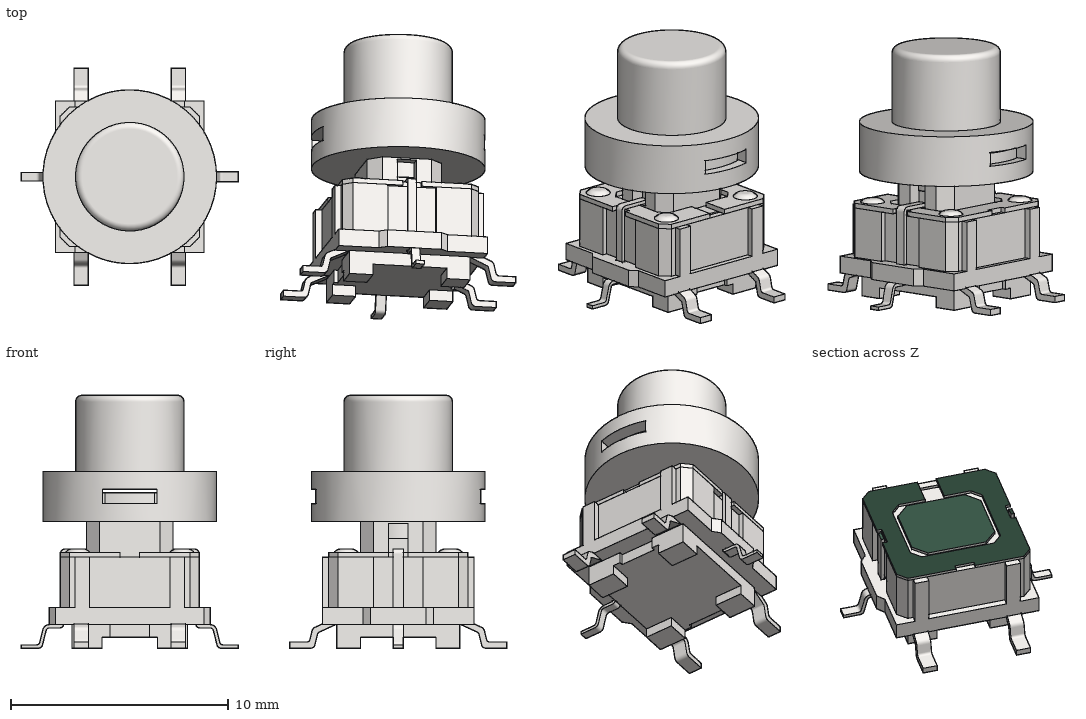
import cadquery as cq
import math

foot_gap_top = 0.5
base_bottom = 1.1
base_top = 1.89
housing_top = 4.19
plate_top = 4.42
flange_bottom = 5.82
flange_top = 8.14
cap_top = 11.65

button_diameter = 5.0
button_edge_radius = 0.3
flange_diameter = 8.0
slot_width = 2.49
slot_bottom = 6.66
slot_top = 7.32

stem_x = 4.0
stem_y = 3.5
stem_chamfer = 0.6
stem_top = 7.16
latch_width = 2.3
latch_radius = 3.5
core_diameter = 3.0
core_bottom = 5.06
window_width = 0.9
window_top = 5.75
window_floor = 1.4

cover_size = 6.41
cover_chamfer = 0.42
plate_hole_clearance = 0.15
plate_hole_chamfer = 0.42
rivet_pitch = 4.8
rivet_top_radius = 0.23
rivet_arc_radius = 0.8 / 2
rivet_height = 0.16
recess_width = 2.3
recess_depth = 0.23
slit_offset = 0.34
slit_width = 0.15
slit_depth = 0.3

base_x = 6.84
base_y = 6.99
bump_reach = 3.72
bump_half_tip = 1.27
bump_half_root = 1.62
upright_inner = 1.86
upright_outer = 2.53
block_x = 5.34
block_y = 5.66
foot_inner_x = 1.27
foot_inner_y = 1.74
niche_width = 1.8
niche_depth = 0.17

lead_reach = 5.0
contact_width = 0.68
contact_thickness = 0.29
contact_offset = 2.24
contact_end = block_y / 2
contact_slope = 0.46
contact_heel = (3.98, contact_thickness / 2)
contact_knee = (3.82, 0.82)
contact_radii = [(0.21, 0.14), (0.09, 0.27)]
lamp_thickness = 0.16
lamp_heel = (4.11, lamp_thickness / 2)
lamp_knee = (3.88, base_bottom - lamp_thickness / 2)
lamp_radii = [(0.21, 0.15), (0.14, 0.31), (0.17, 0.09), (0.07, 0.25)]
lamp_width_left = 0.4
lamp_width_right = 0.48
lamp_end = 1.63


def centred_box(size_x, size_y, bottom, top):
    """A box centred on the Z axis."""
    box = cq.Workplane("XY").workplane(offset=bottom).rect(size_x, size_y)
    return box.extrude(top - bottom)


def chamfered_block(size_x, size_y, chamfer, bottom, top):
    """A centred box with its four upright edges chamfered."""
    return centred_box(size_x, size_y, bottom, top).edges("|Z").chamfer(chamfer)


def disc(diameter, bottom, top):
    return cq.Workplane("XY").workplane(offset=bottom).circle(diameter / 2).extrude(top - bottom)


def strip_side(path, offset):
    """The path moved sideways by the offset (left is positive), with mitred corners."""
    headings = [math.atan2(b[1] - a[1], b[0] - a[0]) for a, b in zip(path, path[1:])]
    before = [headings[0]] + headings
    after = headings + [headings[-1]]
    side = []
    for (u, v), angle_in, angle_out in zip(path, before, after):
        middle = (angle_in + angle_out) / 2
        miter = offset / math.cos((angle_out - angle_in) / 2)
        side.append((u - miter * math.sin(middle), v + miter * math.cos(middle)))
    return side


def round_corner(previous, corner, following, radius):
    """Start, middle and end of the arc that rounds a corner."""
    length_in = math.dist(previous, corner)
    length_out = math.dist(following, corner)
    to_previous = [(p - c) / length_in for p, c in zip(previous, corner)]
    to_following = [(f - c) / length_out for f, c in zip(following, corner)]
    half_angle = math.acos(sum(p * f for p, f in zip(to_previous, to_following))) / 2
    tangent = radius / math.tan(half_angle)
    gap = radius / math.sin(half_angle) - radius
    start = tuple(c + tangent * p for c, p in zip(corner, to_previous))
    end = tuple(c + tangent * f for c, f in zip(corner, to_following))
    reach = gap / (2 * math.cos(half_angle))
    middle = tuple(c + reach * (p + f) for c, p, f in zip(corner, to_previous, to_following))
    return start, middle, end


def bent_strip(plane, path, radii, thickness, width):
    """A bent strip along a centre path; radii holds (left, right) for each inner path point."""
    left = strip_side(path, thickness / 2)
    right = strip_side(path, -thickness / 2)
    outline = cq.Workplane(plane).moveTo(*left[0])
    for i, (left_radius, _) in enumerate(radii):
        start, middle, end = round_corner(*left[i:i + 3], left_radius)
        outline = outline.lineTo(*start).threePointArc(middle, end)
    outline = outline.lineTo(*left[-1]).lineTo(*right[-1])
    for i, (_, right_radius) in reversed(list(enumerate(radii))):
        start, middle, end = round_corner(*right[i:i + 3], right_radius)
        outline = outline.lineTo(*end).threePointArc(middle, start)
    return outline.lineTo(*right[0]).close().extrude(width / 2, both=True)


def make_cap():
    """Round button with a wide flange, socketed for the stem."""
    button = disc(button_diameter, flange_top, cap_top).faces(">Z").edges().fillet(button_edge_radius)
    flange = disc(flange_diameter, flange_bottom, flange_top)
    socket = chamfered_block(stem_x, stem_y, stem_chamfer, flange_bottom, stem_top)
    slot = centred_box(slot_width, flange_diameter, slot_bottom, slot_top)
    return button.union(flange).cut(socket).cut(slot)


def make_stem():
    """Chamfered plunger with two latches at the top and a window in each X side."""
    stem = chamfered_block(stem_x, stem_y, stem_chamfer, base_top, stem_top)
    latches = disc(2 * latch_radius, slot_bottom, stem_top)
    latches = latches.intersect(centred_box(latch_width, 2 * latch_radius, slot_bottom, stem_top))
    windows = centred_box(stem_x, window_width, plate_top, window_top)
    windows = windows.cut(centred_box(2 * window_floor, window_width, plate_top, window_top))
    windows = windows.cut(disc(core_diameter, core_bottom, window_top))
    return stem.union(latches).cut(windows)


def make_rivet_heads():
    """Low domed heads near the four corners of the plate."""
    drop = rivet_arc_radius - rivet_height
    rim_radius = rivet_top_radius + math.sqrt(rivet_arc_radius**2 - drop**2)
    half_angle = math.acos(drop / rivet_arc_radius) / 2
    middle = (
        rivet_top_radius + rivet_arc_radius * math.sin(half_angle),
        rivet_height - rivet_arc_radius * (1 - math.cos(half_angle)),
    )
    profile = cq.Workplane("XZ").lineTo(rim_radius, 0)
    profile = profile.threePointArc(middle, (rivet_top_radius, rivet_height))
    head = profile.lineTo(0, rivet_height).close().revolve(360, (0, 0, 0), (0, 1, 0)).val()
    centres = cq.Workplane("XY").workplane(offset=plate_top)
    centres = centres.rect(rivet_pitch, rivet_pitch, forConstruction=True).vertices()
    return centres.eachpoint(lambda place: head.moved(place))


def make_cover_plate():
    """Plate on the housing, with the stem hole, edge notches and four rivet heads."""
    plate = chamfered_block(cover_size, cover_size, cover_chamfer, housing_top, plate_top)
    hole_x = stem_x + 2 * plate_hole_clearance
    hole_y = stem_y + 2 * plate_hole_clearance
    plate = plate.cut(chamfered_block(hole_x, hole_y, plate_hole_chamfer, housing_top, plate_top))

    notch_core = cover_size - 2 * recess_depth
    notches = centred_box(cover_size, window_width, housing_top, plate_top)
    notches = notches.union(centred_box(window_width, cover_size, housing_top, plate_top))
    notches = notches.cut(centred_box(notch_core, notch_core, housing_top, plate_top))
    plate = plate.cut(notches)

    open_notch = centred_box(window_width, cover_size / 2, housing_top, plate_top)
    plate = plate.cut(open_notch.translate((0, -cover_size / 4, 0)))
    return plate.union(make_rivet_heads())


def make_housing():
    """Chamfered housing with a recess in each X side and a slit in its top at each Y side."""
    housing = chamfered_block(cover_size, cover_size, cover_chamfer, base_top, housing_top)
    recesses = centred_box(cover_size, recess_width, base_top, housing_top)
    recess_core = cover_size - 2 * recess_depth
    recesses = recesses.cut(centred_box(recess_core, recess_width, base_top, housing_top))
    slit_outer = cover_size - 2 * slit_offset
    slits = centred_box(window_width, slit_outer, housing_top - slit_depth, housing_top)
    slit_inner = slit_outer - 2 * slit_width
    slits = slits.cut(centred_box(window_width, slit_inner, housing_top - slit_depth, housing_top))
    return housing.cut(recesses).cut(slits)


def make_standoff_block():
    """Block under the base, standing on four corner feet."""
    block = centred_box(block_x, block_y, 0, base_bottom)
    block = block.cut(centred_box(2 * foot_inner_x, block_y, 0, foot_gap_top))
    block = block.cut(centred_box(block_x, 2 * foot_inner_y, 0, foot_gap_top))
    niches = centred_box(niche_width, block_y, foot_gap_top, base_bottom)
    niches = niches.cut(centred_box(niche_width, block_y - 2 * niche_depth, foot_gap_top, base_bottom))
    return block.cut(niches)


def make_base():
    """Base with its housing, uprights, side bumps and standoff block."""
    base = centred_box(base_x, base_y, base_bottom, base_top)
    bump_outline = [
        (bump_reach, bump_half_tip),
        (base_x / 2, bump_half_root),
        (-base_x / 2, bump_half_root),
        (-bump_reach, bump_half_tip),
        (-bump_reach, -bump_half_tip),
        (-base_x / 2, -bump_half_root),
        (base_x / 2, -bump_half_root),
        (bump_reach, -bump_half_tip),
    ]
    bumps = cq.Workplane("XY").workplane(offset=base_bottom).polyline(bump_outline).close()
    base = base.union(bumps.extrude(base_top - base_bottom))

    uprights = centred_box(2 * upright_outer, base_y, base_top, housing_top)
    uprights = uprights.cut(centred_box(2 * upright_inner, base_y, base_top, housing_top))
    base = base.union(uprights).union(make_housing()).union(make_standoff_block())
    return base.cut(chamfered_block(stem_x, stem_y, stem_chamfer, base_top, housing_top))


def make_contact_lead(x, side):
    """Gull-wing lead leaving the base towards the +Y (side 1) or -Y (side -1) edge."""
    end_rise = contact_slope * (contact_knee[0] - contact_end)
    path = [
        (lead_reach, contact_thickness / 2),
        contact_heel,
        contact_knee,
        (contact_end, contact_knee[1] + end_rise),
    ]
    lead = bent_strip("YZ", path, contact_radii, contact_thickness, contact_width)
    if side < 0:
        lead = lead.mirror("XZ")
    return lead.translate((x, 0, 0))


def make_lamp_lead(side, width):
    """Lead that rises through the base and up the housing, then folds over the plate."""
    riser = (cover_size - lamp_thickness) / 2
    top = plate_top + lamp_thickness / 2
    path = [
        (lead_reach, lamp_thickness / 2),
        lamp_heel,
        lamp_knee,
        (riser, lamp_knee[1]),
        (riser, top),
        (lamp_end, top),
    ]
    lead = bent_strip("XZ", path, lamp_radii, lamp_thickness, width)
    return lead.mirror("YZ") if side < 0 else lead


def make_lamp_passages():
    """Openings in the base around the risers of the lamp leads."""
    passages = centred_box(cover_size, lamp_width_right, base_bottom, base_top)
    inner = cover_size - 2 * lamp_thickness
    return passages.cut(centred_box(inner, lamp_width_right, base_bottom, base_top))


cap = make_cap()
stem = make_stem()
cover_plate = make_cover_plate()

contact_leads = [make_contact_lead(x, side) for x in (-contact_offset, contact_offset) for side in (-1, 1)]
lamp_leads = [make_lamp_lead(-1, lamp_width_left), make_lamp_lead(1, lamp_width_right)]

base = make_base().cut(make_lamp_passages())
for lead in contact_leads + lamp_leads:
    base = base.cut(lead)

result = cq.Compound.makeCompound([
    cap.val(),
    stem.val(),
    cover_plate.val(),
    base.val(),
    *[lead.val() for lead in contact_leads],
    *[lead.val() for lead in lamp_leads],
])